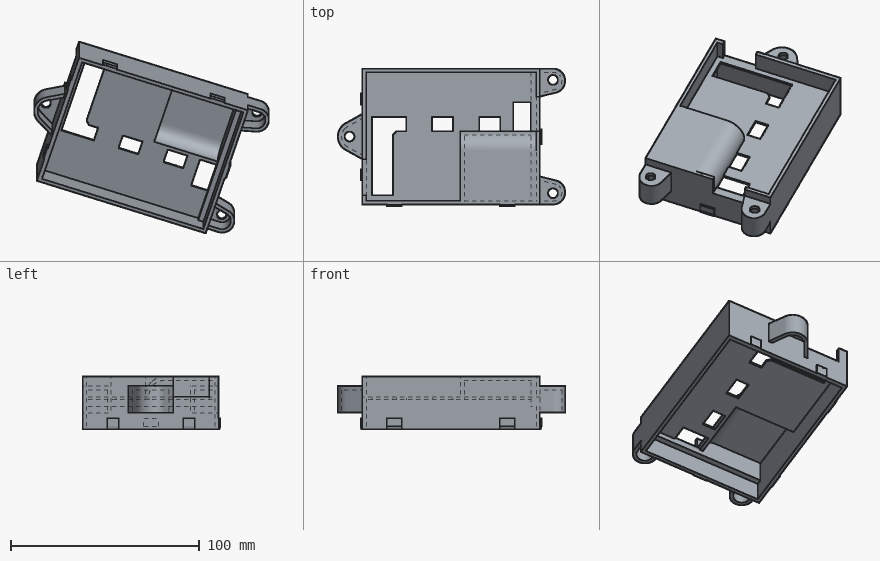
import cadquery as cq
import math

total_length = 120.5
total_width = 73.0
length = 94.1
width = 72.0
height = 28.1
wall = 1.9
left_wall = 2.3
deck_top = 17.2
deck_thickness = 1.2
deck_bottom = deck_top - deck_thickness

compartment_left = 52.0
compartment_back = 38.9
compartment_radius = 10.1
cover_thickness = 1.9

left_opening = (5.0, 24.0)
right_opening = (compartment_back, 57.1)

slot_left = 5.3
slot_front = 5.0
slot_width = 11.0
slot_arm_length = 18.1
slot_chamfer = 1.9
window_back = 46.3
window_length = 11.0
window_lefts = (37.1, 62.2)
side_window_left = 80.1
side_window_length = 9.2
side_window_back = 54.1

rail_depth = 4.8

lug_bottom = 8.9
lug_height = 14.2
lug_top_thickness = 2.0
lug_hole_diameter = 5.0
left_lug_reach = 12.9
left_lug_half_base = 11.9
left_lug_radius = 8.1
left_lug_hole_offset = 6.6
right_lug_reach = total_length - length - left_lug_reach
right_lug_radius = 6.5
right_lug_base = 14.9
right_lug_hole_x = 7.0
right_lug_hole_y = 6.0

tab_height = 6.0
tab_chamfer_height = 1.8
tab_root = 0.4
side_tab_width = 6.0
long_tab_width = 8.0
left_tab_depth = 0.7
tab_depth = total_width - width
left_tab_starts = (12.8, 52.9)
front_tab_starts = (13.1, 73.0)
right_tab_start = 31.9


def block(x_range, y_range, z_range):
    """Box spanning the given (low, high) ranges."""
    size = [high - low for low, high in (x_range, y_range, z_range)]
    corner = (x_range[0], y_range[0], z_range[0])
    return cq.Workplane("XY").box(*size, centered=False).translate(corner)


def rounded_bar(x_range, y_range, z_range, radius):
    """Box whose upper +Y edge is rounded."""
    return block(x_range, y_range, z_range).edges(">Y and >Z").fillet(radius)


def tangent_point(start, center, radius, side):
    """Point where a line from start touches a circle; side picks the left (+1) or right (-1) tangent."""
    dx = center[0] - start[0]
    dy = center[1] - start[1]
    distance = math.hypot(dx, dy)
    angle = math.atan2(dy, dx) + side * math.asin(radius / distance)
    reach = math.sqrt(distance**2 - radius**2)
    return (start[0] + reach * math.cos(angle), start[1] + reach * math.sin(angle))


def make_shell():
    inner_x = (left_wall, length - wall)
    inner_y = (wall, width - wall)
    shell = block((0, length), (0, width), (0, height))
    shell = shell.cut(block(inner_x, inner_y, (deck_top, height)))
    shell = shell.cut(block(inner_x, inner_y, (0, deck_bottom)))
    rail_x = (side_window_left + side_window_length, length - wall)
    rail_z = (deck_top - rail_depth, deck_top)
    return shell.union(block(rail_x, inner_y, rail_z))


def cut_side_openings(body):
    opening_z = (deck_top, height)
    body = body.cut(block((0, left_wall), left_opening, opening_z))
    return body.cut(block((length - wall, length), right_opening, opening_z))


def add_compartment(body):
    outer = rounded_bar(
        (compartment_left, length - wall),
        (wall, compartment_back),
        (deck_top, height),
        compartment_radius,
    )
    hollow = rounded_bar(
        (compartment_left + cover_thickness, side_window_left + side_window_length),
        (wall, compartment_back - cover_thickness),
        (deck_bottom, height - cover_thickness),
        compartment_radius - cover_thickness,
    )
    return body.union(outer).cut(hollow)


def cut_deck_windows(body):
    deck_z = (deck_bottom, deck_top)
    window_y = (compartment_back, window_back)
    slot_right = slot_left + slot_width
    slot = (
        cq.Workplane("XY")
        .workplane(offset=deck_z[0])
        .moveTo(slot_left, slot_front)
        .lineTo(slot_right, slot_front)
        .lineTo(slot_right, compartment_back - slot_chamfer)
        .lineTo(slot_right + slot_chamfer, compartment_back)
        .lineTo(slot_left + slot_arm_length, compartment_back)
        .lineTo(slot_left + slot_arm_length, window_back)
        .lineTo(slot_left, window_back)
        .close()
        .extrude(deck_thickness)
    )
    body = body.cut(slot)
    for left in window_lefts:
        body = body.cut(block((left, left + window_length), window_y, deck_z))
    side_window_x = (side_window_left, side_window_left + side_window_length)
    return body.cut(block(side_window_x, (compartment_back, side_window_back), deck_z))


def hollow_lug(outline, hole_x, hole_y):
    """Lug extruded from an outline whose base reaches one wall thickness into the body."""
    lug = outline.extrude(lug_height)
    pocket = outline.toPending().offset2D(-wall).extrude(lug_height - lug_top_thickness)
    hole = cq.Workplane("XY").center(hole_x, hole_y).circle(lug_hole_diameter / 2).extrude(lug_height)
    return lug.cut(pocket).cut(hole)


def make_left_lug():
    """Lug on the -X wall, symmetric about the middle of the body width."""
    center = (left_lug_radius - left_lug_reach, 0)
    base_back = (0, left_lug_half_base)
    touch_x, touch_y = tangent_point(base_back, center, left_lug_radius, -1)
    outline = (
        cq.Workplane("XY")
        .moveTo(wall, left_lug_half_base)
        .lineTo(*base_back)
        .lineTo(touch_x, touch_y)
        .threePointArc((-left_lug_reach, 0), (touch_x, -touch_y))
        .lineTo(0, -left_lug_half_base)
        .lineTo(wall, -left_lug_half_base)
        .close()
    )
    lug = hollow_lug(outline, -left_lug_hole_offset, 0)
    return lug.translate((0, width / 2, lug_bottom))


def make_right_lug():
    """Lug on the +X wall at the -Y corner; its front face is flush with the body."""
    center = (right_lug_reach - right_lug_radius, right_lug_radius)
    base_back = (0, right_lug_base)
    touch = tangent_point(base_back, center, right_lug_radius, 1)
    outline = (
        cq.Workplane("XY")
        .moveTo(-wall, 0)
        .lineTo(center[0], 0)
        .threePointArc((right_lug_reach, center[1]), touch)
        .lineTo(*base_back)
        .lineTo(-wall, right_lug_base)
        .close()
    )
    lug = hollow_lug(outline, right_lug_hole_x, right_lug_hole_y)
    return lug.translate((length, 0, lug_bottom))


def add_lugs(body):
    front_lug = make_right_lug()
    back_lug = front_lug.mirror("XZ", (0, width / 2, 0))
    return body.union(make_left_lug()).union(front_lug).union(back_lug)


def make_tab(depth, tab_width):
    """Snap tab standing out of the XZ plane toward -Y, starting at X = 0, with a sloped lower face."""
    profile = [(0, 0), (-tab_root, 0), (-depth, tab_chamfer_height), (-depth, tab_height), (0, tab_height)]
    return cq.Workplane("YZ").polyline(profile).close().extrude(tab_width)


def add_tabs(body):
    axis_start = (0, 0, 0)
    axis_end = (0, 0, 1)
    for start in front_tab_starts:
        body = body.union(make_tab(tab_depth, long_tab_width).translate((start, 0, 0)))
    left_tab = make_tab(left_tab_depth, side_tab_width).rotate(axis_start, axis_end, -90)
    for start in left_tab_starts:
        body = body.union(left_tab.translate((0, start + side_tab_width, 0)))
    right_tab = make_tab(tab_depth, long_tab_width).rotate(axis_start, axis_end, 90)
    return body.union(right_tab.translate((length, right_tab_start, 0)))


result = make_shell()
result = cut_side_openings(result)
result = add_compartment(result)
result = cut_deck_windows(result)
result = add_lugs(result)
result = add_tabs(result)